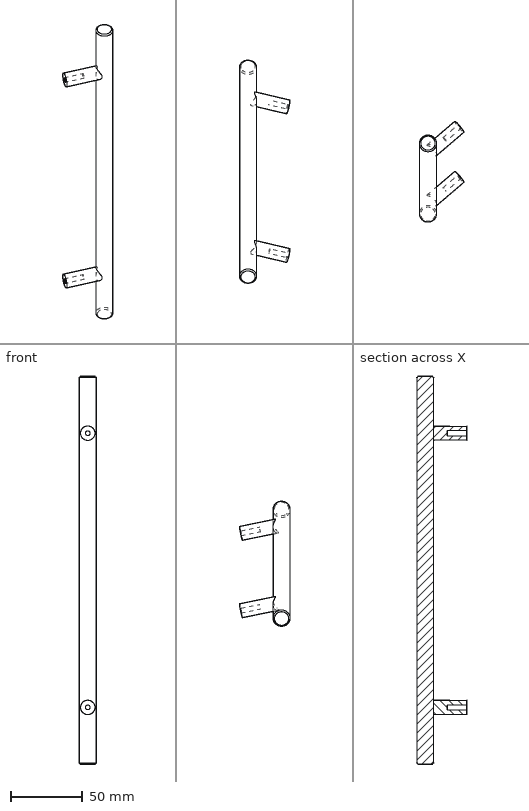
import cadquery as cq

bar_length = 272.0
bar_diameter = 12.0
bar_end_chamfer = 1.0

post_diameter = 10.0
post_spacing = 192.0
handle_depth = 35.0

screw_hole_diameter = 3.3
screw_hole_depth = 13.5

bar_radius = bar_diameter / 2
post_reach = handle_depth - bar_radius


def make_bar():
    """Round bar with both ends chamfered."""
    bar = cq.Workplane("XY", origin=(0, 0, -bar_length / 2)).circle(bar_radius).extrude(bar_length)
    return bar.faces("|Z").chamfer(bar_end_chamfer)


def make_post(height, bar):
    """Round post with a blind screw hole, saddled to fit against the bar."""
    post = cq.Workplane("XZ", origin=(0, 0, height)).circle(post_diameter / 2).extrude(post_reach)
    screw_hole = (
        cq.Workplane("XZ", origin=(0, -post_reach, height))
        .circle(screw_hole_diameter / 2)
        .extrude(-screw_hole_depth)
    )
    return post.cut(screw_hole).cut(bar).solids()


bar = make_bar()
posts = [make_post(side * post_spacing / 2, bar) for side in (-1, 1)]

result = cq.Compound.makeCompound([bar.val(), *[post.val() for post in posts]])